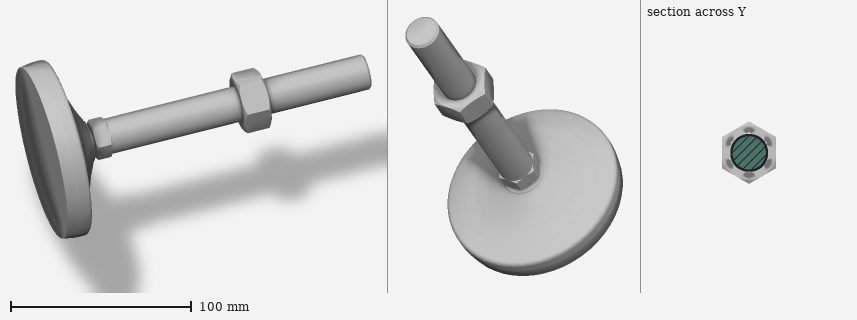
import cadquery as cq
import math

total_length = 188.5
foot_diameter = 100.0
rod_diameter = 20.0
neck_diameter = rod_diameter / 2

foot_radius = foot_diameter / 2
sole_radius = 48.8
taper_height = 7.4
rim_height = 14.0
rim_fillet = 2.3
flare_mid_radius = 29.6
flare_mid_height = 18.8
crown_radius = 12.0
crown_edge_height = 26.8
foot_height = 27.5
crown_chamfer = foot_height - crown_edge_height

hex_sides = 6
rod_chamfer = 1.3
wrench_hex_start = 29.2
wrench_hex_length = 9.0
wrench_hex_flats = rod_diameter
nut_start = 113.5
nut_length = 15.3
nut_flats = 30.0
corner_chamfer_angle = 30.0


def cylinder(diameter, start, end):
    """Round bar along Y between two positions."""
    plane = cq.Workplane("XZ", origin=(0, start, 0))
    return plane.circle(diameter / 2).extrude(start - end)


def chamfered_hexagon(flats, start, length):
    """Hexagonal prism along Y, flats facing X, with conically trimmed corners."""
    corner_diameter = flats / math.cos(math.pi / hex_sides)
    corner_radius = corner_diameter / 2
    trim_radial = corner_radius - flats / 2
    trim_axial = trim_radial * math.tan(math.radians(corner_chamfer_angle))
    plane = cq.Workplane("XZ", origin=(0, start, 0))
    plane = plane.transformed(rotate=(0, 0, 180 / hex_sides))
    prism = plane.polygon(hex_sides, corner_diameter).extrude(-length)
    envelope = cylinder(corner_diameter, start, start + length)
    envelope = envelope.faces("<Y or >Y").chamfer(trim_axial, trim_radial)
    return prism.intersect(envelope)


def make_foot():
    """Revolved foot with a tapered sole, rounded rim and concave upper flare."""
    profile = (
        cq.Workplane("XY")
        .lineTo(sole_radius, 0)
        .lineTo(foot_radius, taper_height)
        .lineTo(foot_radius, rim_height)
        .threePointArc((flare_mid_radius, flare_mid_height), (crown_radius, crown_edge_height))
        .lineTo(crown_radius - crown_chamfer, foot_height)
        .lineTo(0, foot_height)
        .close()
    )
    foot = profile.revolve(360, (0, 0, 0), (0, 1, 0))
    rim_edge = cq.selectors.NearestToPointSelector((0, rim_height, 0))
    return foot.edges(rim_edge).fillet(rim_fillet)


foot = make_foot()
neck = cylinder(neck_diameter, rim_height, wrench_hex_start + wrench_hex_length)
wrench_hex = chamfered_hexagon(wrench_hex_flats, wrench_hex_start, wrench_hex_length)
rod = cylinder(rod_diameter, wrench_hex_start + wrench_hex_length, total_length)
rod = rod.faces(">Y").chamfer(rod_chamfer)
nut = chamfered_hexagon(nut_flats, nut_start, nut_length)

result = foot.union(neck).union(wrench_hex).union(rod).union(nut)